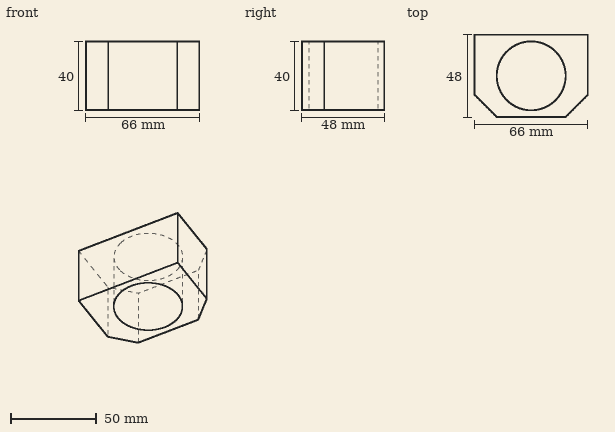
import cadquery as cq

width = 66.0
depth = 48.0
height = 40.0

bore_diameter = 40.0

front_face_width = bore_diameter
corner_chamfer = (width - front_face_width) / 2


def make_block():
    """Rectangular block with its two front vertical edges chamfered."""
    block = cq.Workplane("XY").box(width, depth, height)
    return block.faces("<Y").edges("|Z").chamfer(corner_chamfer)


def drill_bore(block):
    """Cut the round bore through the full height of the block."""
    return block.faces(">Z").workplane(origin=(0, 0, 0)).hole(bore_diameter)


result = drill_bore(make_block())